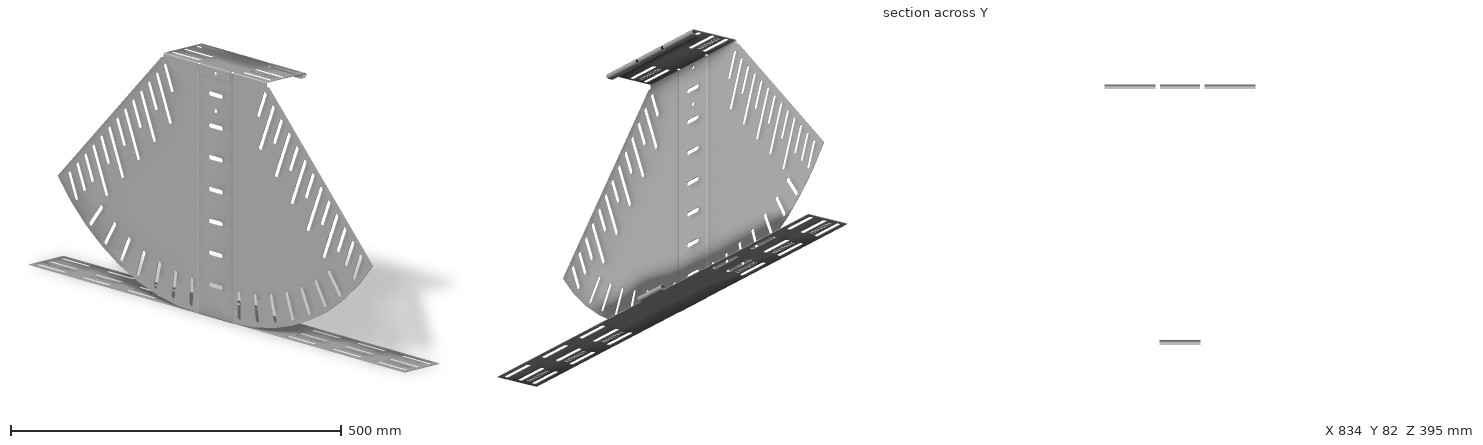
import cadquery as cq
import math

SHEET = 1.0
HEIGHT = 395.0
DEPTH = 82.0
BEND_RADIUS = 2.0

HEM_RADIUS = 4.0
HEM_LENGTH = 11.0
HEM_TANGENT_Y = DEPTH - HEM_RADIUS

FAN_BOTTOM = BEND_RADIUS
FAN_TOP = 387.5
FAN_TOP_HALF_WIDTH = 119.5
FAN_TIP = (350.0, 154.5)
RIM_RADIUS = 395.0
RIM_CENTRE = (40.0, FAN_BOTTOM + RIM_RADIUS)

STRIP_HALF_WIDTH = 36.5
RECESS_HALF_WIDTH = 39.0
RECESS_DEPTH = SHEET
STRIP_BACK = RECESS_DEPTH + SHEET
STRIP_TOP = HEIGHT - BEND_RADIUS
STRIP_SLOT_COUNT = 7
STRIP_SLOT_PITCH = 50.0
STRIP_SLOT_FIRST_Z = 51.5
STRIP_SLOT_LENGTH = 31.0
STRIP_SLOT_WIDTH = 7.0

FAN_SLOT_WIDTH = 7.0
SHORT_SLOT = 45.0
LONG_SLOT = 81.0
LONG_SLOT_INDICES = (1, 3, 5, 7, 9)
EDGE_SLOT_COUNT = 13
EDGE_SLOT_PITCH = 25.0
EDGE_SLOT_STEP = EDGE_SLOT_PITCH / math.sqrt(2)
EDGE_SLOT_TILT = 22.5
EDGE_SLOT_START = (112.25, 378.5)
RIM_SLOT_COUNT = 7
RIM_SLOT_STEP = 6.0
RIM_SLOT_FIRST_ANGLE = 2.0
RIM_SLOT_RADIUS = 365.0

HOLE_DIAMETER = 6.5
FIXING_HOLE_Z = 385.7
STRIP_HOLE_Z = STRIP_SLOT_FIRST_Z + (STRIP_SLOT_COUNT - 1.5) * STRIP_SLOT_PITCH

RAIL_LENGTH = 834.0
RAIL_FRONT = RECESS_DEPTH + BEND_RADIUS
RAIL_BACK = 75.0
LOWER_HEM_HALF_WIDTH = 31.0
UPPER_HALF_WIDTH = 114.5

GROUP_PITCH = 100.0
UPPER_GROUP_X = 78.5
RAIL_GROUP_COUNT = 3
FLANGE_SLOT_LENGTH = 64.0
FLANGE_SLOT_WIDTH = 7.0
FLANGE_SLOT_Y = (14.0, 39.0, 64.0)
WINDOW_COUNT = 9
WINDOW_PITCH = 6.0
WINDOW_SIZE = (3.0, 8.0)
WINDOW_Y = 26.5

TAB_HALF_WIDTH = 34.0
TAB_BOTTOM = 379.5
RELIEF_OUTER_X = 40.0
RELIEF_DEPTH = 5.0
HEM_NOTCH = (30.5, 37.0)


def slot_through_upright(x, z, length, width, tilt):
    """Cutter for a round-ended slot in the upright sheet, tilted from the X axis."""
    plane = cq.Workplane("XZ", origin=(x, 0, z)).transformed(rotate=(0, 0, tilt))
    return plane.slot2D(length, width).extrude(DEPTH / 2, both=True).val()


def hole_through_upright(z):
    return cq.Workplane("XZ", origin=(0, 0, z)).circle(HOLE_DIAMETER / 2).extrude(-DEPTH / 2).val()


def cut_all(body, cutters):
    return body.cut(cq.Workplane(cq.Compound.makeCompound(cutters)))


def fan_side(side):
    """Flat wing of the fan on one side (-1 or +1) of the strip."""
    centre_x, centre_z = RIM_CENTRE
    tip_x, tip_z = FAN_TIP
    end_angle = math.atan2(tip_x - centre_x, centre_z - tip_z)
    mid_angle = end_angle / 2
    mid_x = centre_x + RIM_RADIUS * math.sin(mid_angle)
    mid_z = centre_z - RIM_RADIUS * math.cos(mid_angle)
    return (
        cq.Workplane("XZ")
        .moveTo(side * RECESS_HALF_WIDTH, FAN_TOP)
        .lineTo(side * RECESS_HALF_WIDTH, FAN_BOTTOM)
        .lineTo(side * centre_x, FAN_BOTTOM)
        .threePointArc((side * mid_x, mid_z), (side * tip_x, tip_z))
        .lineTo(side * FAN_TOP_HALF_WIDTH, FAN_TOP)
        .close()
        .extrude(-SHEET)
    )


def fan_slots(side):
    """Cutters for the parallel slots along the sloping edge and the radial slots along the rim."""
    slots = []
    tilt = math.radians(EDGE_SLOT_TILT)
    for i in range(EDGE_SLOT_COUNT):
        length = LONG_SLOT if i in LONG_SLOT_INDICES else SHORT_SLOT
        x = EDGE_SLOT_START[0] + i * EDGE_SLOT_STEP - length / 2 * math.sin(tilt)
        z = EDGE_SLOT_START[1] - i * EDGE_SLOT_STEP - length / 2 * math.cos(tilt)
        slot_angle = side * (90 - EDGE_SLOT_TILT)
        slots.append(slot_through_upright(side * x, z, length, FAN_SLOT_WIDTH, slot_angle))
    for i in range(RIM_SLOT_COUNT):
        degrees = RIM_SLOT_FIRST_ANGLE + i * RIM_SLOT_STEP
        x = RIM_CENTRE[0] + RIM_SLOT_RADIUS * math.sin(math.radians(degrees))
        z = RIM_CENTRE[1] - RIM_SLOT_RADIUS * math.cos(math.radians(degrees))
        slot_angle = side * (90 + degrees)
        slots.append(slot_through_upright(side * x, z, SHORT_SLOT, FAN_SLOT_WIDTH, slot_angle))
    return slots


def recessed_strip():
    """Middle strip with the sloping walls of its recess, its slots and its two holes."""
    half_front = [(STRIP_HALF_WIDTH, RECESS_DEPTH), (RECESS_HALF_WIDTH, 0)]
    half_back = [(RECESS_HALF_WIDTH, SHEET), (STRIP_HALF_WIDTH, STRIP_BACK)]
    half = half_front + half_back
    mirrored = [(-x, y) for x, y in reversed(half)]
    strip = (
        cq.Workplane("XY", origin=(0, 0, FAN_BOTTOM))
        .polyline(half + mirrored)
        .close()
        .extrude(STRIP_TOP - FAN_BOTTOM)
    )
    cutters = [hole_through_upright(FIXING_HOLE_Z), hole_through_upright(STRIP_HOLE_Z)]
    for i in range(STRIP_SLOT_COUNT):
        z = STRIP_SLOT_FIRST_Z + i * STRIP_SLOT_PITCH
        cutters.append(slot_through_upright(0, z, STRIP_SLOT_LENGTH, STRIP_SLOT_WIDTH, 0))
    return cut_all(strip, cutters)


def quarter_bend(face_y, half_width):
    """Bend at the underside, from an upright sheet with its front at face_y into a flange."""
    inner = BEND_RADIUS - SHEET
    centre_y = face_y + BEND_RADIUS
    outer_mid = BEND_RADIUS * math.sqrt(0.5)
    inner_mid = inner * math.sqrt(0.5)
    return (
        cq.Workplane("YZ", origin=(-half_width, 0, 0))
        .moveTo(face_y, BEND_RADIUS)
        .threePointArc((centre_y - outer_mid, BEND_RADIUS - outer_mid), (centre_y, 0))
        .lineTo(centre_y, SHEET)
        .threePointArc((centre_y - inner_mid, BEND_RADIUS - inner_mid), (face_y + SHEET, BEND_RADIUS))
        .close()
        .extrude(2 * half_width)
    )


def hem(start_y, half_width):
    """Flat sheet from start_y that rolls up at the rear and turns back, on the underside."""
    inner = HEM_RADIUS - SHEET
    top = 2 * HEM_RADIUS
    lip_end = DEPTH - HEM_LENGTH
    return (
        cq.Workplane("YZ", origin=(-half_width, 0, 0))
        .moveTo(start_y, 0)
        .lineTo(HEM_TANGENT_Y, 0)
        .threePointArc((DEPTH, HEM_RADIUS), (HEM_TANGENT_Y, top))
        .lineTo(lip_end, top)
        .lineTo(lip_end, top - SHEET)
        .lineTo(HEM_TANGENT_Y, top - SHEET)
        .threePointArc((HEM_TANGENT_Y + inner, HEM_RADIUS), (HEM_TANGENT_Y, SHEET))
        .lineTo(start_y, SHEET)
        .close()
        .extrude(2 * half_width)
    )


def box(x_range, y_range, z_range):
    lows, highs = zip(x_range, y_range, z_range)
    sizes = [high - low for low, high in zip(lows, highs)]
    return cq.Workplane("XY").box(*sizes, centered=False).translate(lows)


def flange_perforation(centre_x):
    """Cutters of one group: three long slots and a row of narrow windows, for a flange at Z = 0."""
    slots = (
        cq.Workplane("XY")
        .pushPoints([(centre_x, y) for y in FLANGE_SLOT_Y])
        .slot2D(FLANGE_SLOT_LENGTH, FLANGE_SLOT_WIDTH)
        .extrude(SHEET)
    )
    windows = (
        cq.Workplane("XY", origin=(centre_x, WINDOW_Y, 0))
        .rarray(WINDOW_PITCH, 1, WINDOW_COUNT, 1)
        .rect(*WINDOW_SIZE)
        .extrude(SHEET)
    )
    return slots.vals() + windows.vals()


def make_fan_with_lower_rail():
    fan = recessed_strip()
    for side in (-1, 1):
        fan = fan.union(cut_all(fan_side(side), fan_slots(side)))
    half_rail = RAIL_LENGTH / 2
    rail = box((-half_rail, half_rail), (RAIL_FRONT, RAIL_BACK), (0, SHEET))
    cutters = []
    for side in (-1, 1):
        for i in range(1, RAIL_GROUP_COUNT + 1):
            cutters += flange_perforation(side * (UPPER_GROUP_X + i * GROUP_PITCH))
    rail = cut_all(rail, cutters).union(hem(RAIL_BACK - HEM_LENGTH, LOWER_HEM_HALF_WIDTH))
    return fan.union(quarter_bend(RECESS_DEPTH, STRIP_HALF_WIDTH)).union(rail)


def make_upper_flange():
    """Built with its outer face on Z = 0 and its lip upwards, then turned over to the top."""
    flange = hem(BEND_RADIUS, UPPER_HALF_WIDTH).union(quarter_bend(0, UPPER_HALF_WIDTH))
    wing_lip = (BEND_RADIUS, HEIGHT - FAN_TOP)
    tab_lip = (BEND_RADIUS, HEIGHT - TAB_BOTTOM)
    flange = flange.union(box((-UPPER_HALF_WIDTH, UPPER_HALF_WIDTH), (0, SHEET), wing_lip))
    flange = flange.union(box((-TAB_HALF_WIDTH, TAB_HALF_WIDTH), (0, SHEET), tab_lip))
    cutters = [hole_through_upright(HEIGHT - FIXING_HOLE_Z)]
    for side in (-1, 1):
        cutters += flange_perforation(side * UPPER_GROUP_X)
        relief = sorted((side * TAB_HALF_WIDTH, side * RELIEF_OUTER_X))
        cutters += box(relief, (0, RELIEF_DEPTH), (0, HEIGHT - FAN_TOP)).vals()
        notch = sorted((side * HEM_NOTCH[0], side * HEM_NOTCH[1]))
        cutters += box(notch, (HEM_TANGENT_Y, DEPTH), (0, 2 * HEM_RADIUS)).vals()
    return cut_all(flange, cutters).mirror("XY").translate((0, 0, HEIGHT))


fan_with_lower_rail = make_fan_with_lower_rail()
upper_flange = make_upper_flange()
result = cq.Compound.makeCompound([fan_with_lower_rail.val(), upper_flange.val()])